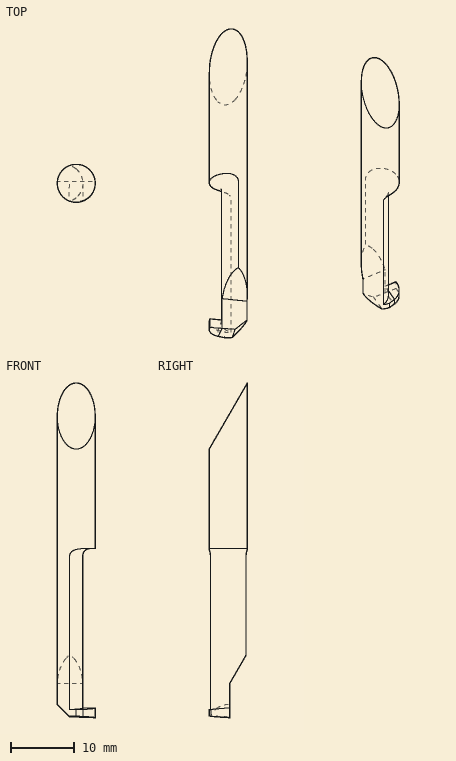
import cadquery as cq
import math

length = 52.45
shank_radius = 3.0
slice_angle = 30.0

neck_radius = 2.95
neck_right = 1.05
neck_axis_x = neck_right - neck_radius
shoulder_z = 26.5
shoulder_fillet = 1.1

rake_y = 0.25
rake_top_z = 5.4
corner_x = -1.05
head_height = 1.55
top_relief = 5.0
end_relief = 3.0
side_relief = 2.0

insert_x = neck_right
flank_radius = 2.85
flank_axis_x = shank_radius - flank_radius
ramp_start_x = 0.0
ramp_end_x = 0.6

margin = 5.25
rise_per_width = 1 / math.tan(math.radians(slice_angle))


def yz_prism(points):
    """Prism with the given YZ outline, wider than the bar in X."""
    return cq.Workplane("YZ").polyline(points).close().extrude(margin, both=True)


def above_end_face():
    """Space above the end face, whose lowest corner is at the cutting edge."""
    lift_x = math.tan(math.radians(side_relief))
    lift_y = math.tan(math.radians(end_relief))
    plane = cq.Plane(
        origin=(shank_radius, rake_y, 0),
        xDir=(1, 0, -lift_x),
        normal=(lift_x, lift_y, 1),
    )
    return cq.Workplane(plane).rect(8 * margin, 8 * margin).extrude(2 * length)


def bar_envelope():
    """Round bar with the top slice, rake flat, sloping run-out and relieved end."""
    slice_low_z = length - 2 * shank_radius * rise_per_width
    runout_z = rake_top_z + (shank_radius - rake_y) * rise_per_width
    side_outline = yz_prism([
        (-shank_radius, -margin),
        (rake_y, -margin),
        (rake_y, rake_top_z),
        (shank_radius, runout_z),
        (shank_radius, length),
        (-shank_radius, slice_low_z),
    ])
    bar = cq.Workplane("XY").workplane(offset=-margin).circle(shank_radius).extrude(length + margin)
    return bar.intersect(side_outline).intersect(above_end_face())


def neck_profile():
    """Eccentric neck, filleted into the shoulder under the full shank."""
    outer = 2 * margin
    arc_offset = shoulder_fillet * (1 - math.sqrt(0.5))
    return (
        cq.Workplane("XZ")
        .moveTo(0, -margin)
        .lineTo(neck_radius, -margin)
        .lineTo(neck_radius, shoulder_z - shoulder_fillet)
        .threePointArc(
            (neck_radius + arc_offset, shoulder_z - arc_offset),
            (neck_radius + shoulder_fillet, shoulder_z),
        )
        .lineTo(outer, shoulder_z)
        .lineTo(outer, length)
        .lineTo(0, length)
        .close()
        .revolve(360, (0, 0, 0), (0, 1, 0))
        .translate((neck_axis_x, 0, 0))
    )


def head_layer():
    """Slab holding the head, its top falling away from the rake face."""
    front_y = -margin
    front_z = head_height - (rake_y - front_y) * math.tan(math.radians(top_relief))
    return yz_prism([
        (front_y, -margin),
        (rake_y, -margin),
        (rake_y, head_height),
        (front_y, front_z),
    ])


def insert_side():
    """Space on the insert's side of the joint."""
    return cq.Workplane("XY").box(margin, 2 * margin, 2 * margin, centered=(False, True, True)).translate(
        (insert_x, 0, 0)
    )


def corner_chamfer():
    """45 degree wedge removed from the corner opposite the cutting edge."""
    foot_z = (shank_radius - corner_x) * math.tan(math.radians(side_relief))
    return (
        cq.Workplane("XZ")
        .moveTo(corner_x + margin, foot_z - margin)
        .lineTo(corner_x - margin, foot_z + margin)
        .lineTo(corner_x - margin, foot_z - margin)
        .close()
        .extrude(margin, both=True)
    )


def flank_cylinder():
    """Round flank of the cutting insert, continued on the neighbouring holder."""
    return (
        cq.Workplane("XY")
        .workplane(offset=-margin)
        .center(flank_axis_x, 0)
        .circle(flank_radius)
        .extrude(2 * margin)
    )


def head_outline():
    """Head shape seen along Z: shank circle, short ramp, then the insert flank."""
    ramp_start_y = -math.sqrt(shank_radius**2 - ramp_start_x**2)
    ramp_end_y = -math.sqrt(flank_radius**2 - (ramp_end_x - flank_axis_x) ** 2)
    shank_side = (
        cq.Workplane("XY")
        .workplane(offset=-margin)
        .moveTo(ramp_start_x, margin)
        .lineTo(-margin, margin)
        .lineTo(-margin, -margin)
        .lineTo(ramp_start_x, -margin)
        .lineTo(ramp_start_x, ramp_start_y)
        .lineTo(ramp_end_x, ramp_end_y)
        .lineTo(ramp_end_x, 0)
        .lineTo(ramp_start_x, 0)
        .close()
        .extrude(2 * margin)
    )
    return flank_cylinder().union(shank_side)


def make_holder():
    envelope = bar_envelope()
    stem = envelope.intersect(neck_profile())
    seat = envelope.intersect(head_layer()).intersect(head_outline())
    insert_pocket = insert_side().intersect(head_layer())
    return stem.union(seat).cut(insert_pocket).cut(corner_chamfer())


def make_insert():
    return bar_envelope().intersect(head_layer()).intersect(insert_side()).intersect(flank_cylinder())


holder = make_holder()
insert = make_insert()

result = cq.Compound.makeCompound([holder.solids().val(), insert.solids().val()])